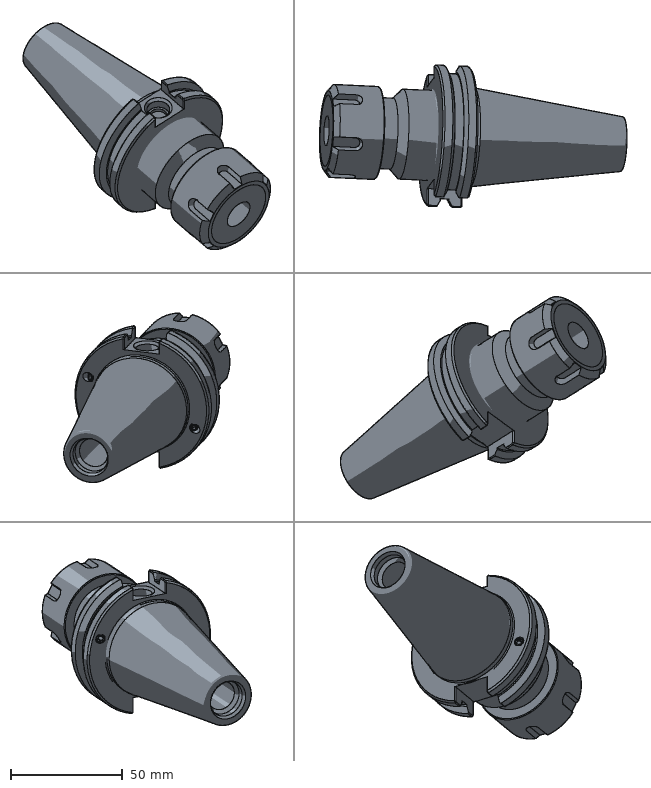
import cadquery as cq
import math

total_length = 134.8
gauge_x = 68.3
flange_start_x = 71.5
flange_end_x = 87.5
collar_end_x = 101.0
neck_start_x = 105.2
nut_start_x = 112.0

tolerance = 0.01

gauge_radius = 22.2
taper_ratio = 7 / 24
small_end_radius = gauge_radius - gauge_x * taper_ratio / 2
small_end_fillet = 1.1
gauge_step_length = 0.4
land_radius = 22.4
root_fillet = 0.5

flange_diameter = 63.5
flange_radius = flange_diameter / 2
flange_chamfer = 0.8
groove_x = (flange_start_x + flange_end_x) / 2
groove_root_radius = 28.2
groove_wall_foot_radius = 29.0
groove_root_half_width = 2.0
groove_mouth_half_width = 3.6
drive_slot_width = 16.3
upper_slot_floor_z = 24.5
lower_slot_floor_z = -22.5
slot_edge_chamfer = 0.5

collar_radius = 20.2
neck_diameter = 32.0
neck_radius = neck_diameter / 2

bore_diameter = 13.3
bore_mouth_diameter = 18.0
bore_entry_diameter = 16.5
bore_mouth_depth = 1.8
bore_entry_depth = 4.6
bore_taper_length = (bore_entry_diameter - bore_diameter) / 2

chip_hole_mouth_diameter = 12.4
chip_hole_diameter = 10.1
chip_tip_diameter = 8.0
chip_hole_depth = 5.1
chip_tip_straight = 1.6
chip_tip_angle = 140

coolant_radius = 27.0
coolant_angles = (20, 200)
coolant_tilt = 35
coolant_hole_diameter = 4.0
plug_face_diameter = 3.2
plug_recess = 1.2
plug_length = 4.0
plug_socket_sides = 6
plug_socket_width = 2.0
plug_socket_depth = 1.6

nut_radius = 20.9
nut_rear_chamfer = 0.4
nut_bevel_length = 2.4
nut_bevel_height = 3.0
nut_slot_count = 6
nut_slot_floor_radius = 18.0
nut_slot_floor_width = 4.5
nut_slot_floor_start_x = 122.5
nut_slot_wall_angle = 17
nut_slot_cutter_height = 1.5 * (nut_radius - nut_slot_floor_radius)


def revolved(points):
    """Solid swept around the X axis from (x, radius) points."""
    return cq.Workplane("XY").polyline(points).close().revolve(360, (0, 0, 0), (1, 0, 0))


def coolant_plane(angle):
    """Plane across a coolant axis where it meets the flange face; its normal points into the hole."""
    around = math.radians(angle)
    tilt = math.radians(coolant_tilt)
    outward = cq.Vector(0, math.cos(around), math.sin(around))
    inward = cq.Vector(math.cos(tilt), 0, 0) - outward * math.sin(tilt)
    mouth = cq.Vector(flange_start_x, 0, 0) + outward * coolant_radius
    return cq.Plane(origin=mouth, xDir=inward.cross(outward), normal=inward)


def circle_at(body, x, radius):
    """The circular edge around the X axis at a given station and radius."""
    for edge in body.edges("%CIRCLE").vals():
        if abs(edge.Center().x - x) < tolerance and abs(edge.radius() - radius) < tolerance:
            return edge


def holder_blank():
    blank = revolved([
        (0, 0),
        (0, small_end_radius),
        (gauge_x, gauge_radius),
        (gauge_x + gauge_step_length, land_radius),
        (flange_start_x, land_radius),
        (flange_start_x, flange_radius - flange_chamfer),
        (flange_start_x + flange_chamfer, flange_radius),
        (groove_x - groove_mouth_half_width, flange_radius),
        (groove_x - groove_root_half_width, groove_wall_foot_radius),
        (groove_x - groove_root_half_width, groove_root_radius),
        (groove_x + groove_root_half_width, groove_root_radius),
        (groove_x + groove_root_half_width, groove_wall_foot_radius),
        (groove_x + groove_mouth_half_width, flange_radius),
        (flange_end_x - flange_chamfer, flange_radius),
        (flange_end_x, flange_radius - flange_chamfer),
        (flange_end_x, collar_radius),
        (collar_end_x, collar_radius),
        (neck_start_x, neck_radius),
        (total_length, neck_radius),
        (total_length, 0),
    ])
    blank = blank.faces("<X").edges().fillet(small_end_fillet)
    root_edges = [
        circle_at(blank, flange_start_x, land_radius),
        circle_at(blank, flange_end_x, collar_radius),
    ]
    return blank.newObject(root_edges).fillet(root_fillet)


def drive_slot(floor_z, direction):
    """Cutter across the flange from a flat floor out to the rim; direction is +1 up or -1 down."""
    depth = flange_radius - abs(floor_z)
    return cq.Workplane("XY").box(
        flange_end_x - flange_start_x, drive_slot_width, depth
    ).translate(((flange_start_x + flange_end_x) / 2, 0, floor_z + direction * depth / 2))


def on_slot_rim(edge):
    """True for the slot wall edges along the lands and along both end faces of the flange."""
    center = edge.Center()
    if abs(abs(center.y) - drive_slot_width / 2) > tolerance:
        return False
    on_end_face = min(abs(center.x - flange_start_x), abs(center.x - flange_end_x)) < tolerance
    on_end_chamfer = edge.geomType() != "LINE"
    on_land = abs(math.hypot(center.y, center.z) - flange_radius) < tolerance
    in_groove = abs(center.x - groove_x) < groove_mouth_half_width
    return on_end_face or on_land or (on_end_chamfer and not in_groove)


def cut_drive_slots(body):
    body = body.cut(drive_slot(upper_slot_floor_z, 1)).cut(drive_slot(lower_slot_floor_z, -1))
    rim_edges = [edge for edge in body.edges().vals() if on_slot_rim(edge)]
    return body.newObject(rim_edges).chamfer(slot_edge_chamfer)


def bore():
    return revolved([
        (0, 0),
        (0, bore_mouth_diameter / 2),
        (bore_mouth_depth, bore_entry_diameter / 2),
        (bore_entry_depth, bore_entry_diameter / 2),
        (bore_entry_depth + bore_taper_length, bore_diameter / 2),
        (total_length, bore_diameter / 2),
        (total_length, 0),
    ])


def chip_hole():
    chamfer = (chip_hole_mouth_diameter - chip_hole_diameter) / 2
    tip_start = chip_hole_depth + chip_tip_straight
    tip_depth = chip_tip_diameter / 2 / math.tan(math.radians(chip_tip_angle / 2))
    profile = [
        (0, 0),
        (chip_hole_mouth_diameter / 2, 0),
        (chip_hole_diameter / 2, -chamfer),
        (chip_hole_diameter / 2, -chip_hole_depth),
        (chip_tip_diameter / 2, -chip_hole_depth),
        (chip_tip_diameter / 2, -tip_start),
        (0, -tip_start - tip_depth),
    ]
    hole = cq.Workplane("XZ").polyline(profile).close().revolve(360, (0, 0, 0), (0, 1, 0))
    return hole.translate((groove_x, 0, upper_slot_floor_z))


def coolant_hole(angle):
    outside = coolant_hole_diameter
    plane = coolant_plane(angle)
    hole = cq.Workplane(plane).workplane(offset=-outside).circle(coolant_hole_diameter / 2)
    return hole.extrude(outside + plug_recess + plug_length)


def tool_holder():
    body = cut_drive_slots(holder_blank())
    body = body.cut(bore()).cut(chip_hole())
    for angle in coolant_angles:
        body = body.cut(coolant_hole(angle))
    return body


def coolant_plug(angle):
    """Set screw with a chamfered outer end and a hexagon socket, seated at the bottom of its hole."""
    face_chamfer = (coolant_hole_diameter - plug_face_diameter) / 2
    socket_diameter = plug_socket_width / math.cos(math.pi / plug_socket_sides)
    plug = cq.Workplane("XY").circle(coolant_hole_diameter / 2).extrude(plug_length)
    plug = plug.faces("<Z").edges().chamfer(face_chamfer)
    socket = cq.Workplane("XY").polygon(plug_socket_sides, socket_diameter).extrude(plug_socket_depth)
    plug = plug.cut(socket).translate((0, 0, plug_recess))
    return cq.Workplane(plug.val().moved(cq.Location(coolant_plane(angle))))


def nut_slot():
    """Cutter for the top slot, widening from its flat floor outwards."""
    half_width = nut_slot_floor_width / 2
    arc_center_x = nut_slot_floor_start_x + half_width
    past_end_x = total_length + half_width
    return (
        cq.Workplane("XY", origin=(0, 0, nut_slot_floor_radius))
        .moveTo(past_end_x, half_width)
        .lineTo(arc_center_x, half_width)
        .threePointArc((nut_slot_floor_start_x, 0), (arc_center_x, -half_width))
        .lineTo(past_end_x, -half_width)
        .close()
        .extrude(nut_slot_cutter_height, taper=-nut_slot_wall_angle)
    )


def clamping_nut():
    nut = revolved([
        (nut_start_x, neck_radius),
        (nut_start_x, nut_radius - nut_rear_chamfer),
        (nut_start_x + nut_rear_chamfer, nut_radius),
        (total_length - nut_bevel_length, nut_radius),
        (total_length, nut_radius - nut_bevel_height),
        (total_length, neck_radius),
    ])
    cutter = nut_slot()
    for index in range(nut_slot_count):
        nut = nut.cut(cutter.rotate((0, 0, 0), (1, 0, 0), index * 360 / nut_slot_count))
    return nut


holder = tool_holder()
nut = clamping_nut()
plugs = [coolant_plug(angle) for angle in coolant_angles]

result = cq.Compound.makeCompound([
    holder.val(),
    nut.val(),
    *[plug.val() for plug in plugs],
])